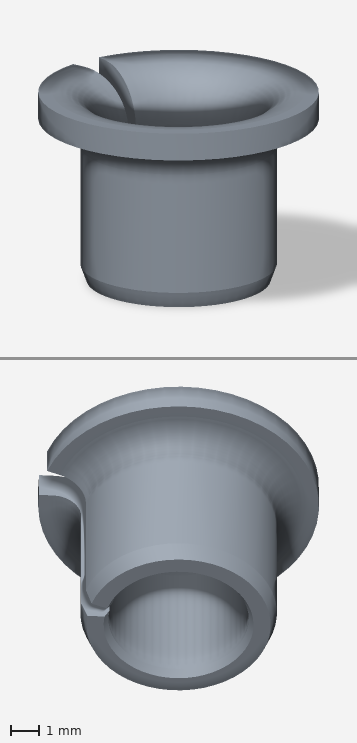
import cadquery as cq
import math

flange_radius = 4.99
height = 7.0
flange_thickness = 1.0

sleeve_radius = 3.49
bore_radius = 2.495
neck_fillet = 1.0
mouth_fillet = 2.0
tip_chamfer_width = 0.22
tip_chamfer_height = 0.6
bore_chamfer_width = 0.17
bore_chamfer_height = 0.3

slit_half_angle = 10.0
slit_half_width_at_bore = 0.18
slit_overrun = 1.0

flange_bottom = height - flange_thickness


def quarter_arc_middle(center_x, center_z, radius, x_sign, z_sign):
    """Midpoint of a quarter arc lying in the quadrant given by the signs."""
    offset = radius * math.sqrt(0.5)
    return (center_x + x_sign * offset, center_z + z_sign * offset)


def make_bushing():
    """Revolve the flanged wall, with a curved neck and mouth and a chamfered tip."""
    neck_center = (sleeve_radius + neck_fillet, flange_bottom - neck_fillet)
    mouth_center = (bore_radius + mouth_fillet, height - mouth_fillet)
    return (
        cq.Workplane("XZ")
        .moveTo(bore_radius + bore_chamfer_width, 0)
        .lineTo(sleeve_radius - tip_chamfer_width, 0)
        .lineTo(sleeve_radius, tip_chamfer_height)
        .lineTo(sleeve_radius, neck_center[1])
        .threePointArc(
            quarter_arc_middle(*neck_center, neck_fillet, -1, 1),
            (neck_center[0], flange_bottom),
        )
        .lineTo(flange_radius, flange_bottom)
        .lineTo(flange_radius, height)
        .lineTo(mouth_center[0], height)
        .threePointArc(
            quarter_arc_middle(*mouth_center, mouth_fillet, -1, 1),
            (bore_radius, mouth_center[1]),
        )
        .lineTo(bore_radius, bore_chamfer_height)
        .close()
        .revolve(360, (0, 0, 0), (0, 1, 0))
        .rotate((0, 0, 0), (0, 0, 1), 180)
    )


def make_slit():
    """Wedge that widens outward from inside the bore, over the full height."""
    taper = math.tan(math.radians(slit_half_angle))
    apex_x = -bore_radius + slit_half_width_at_bore / taper
    outer_x = -flange_radius - slit_overrun
    outer_half_width = (apex_x - outer_x) * taper
    return (
        cq.Workplane("XY")
        .moveTo(apex_x, 0)
        .lineTo(outer_x, outer_half_width)
        .lineTo(outer_x, -outer_half_width)
        .close()
        .extrude(height)
    )


result = make_bushing().cut(make_slit())